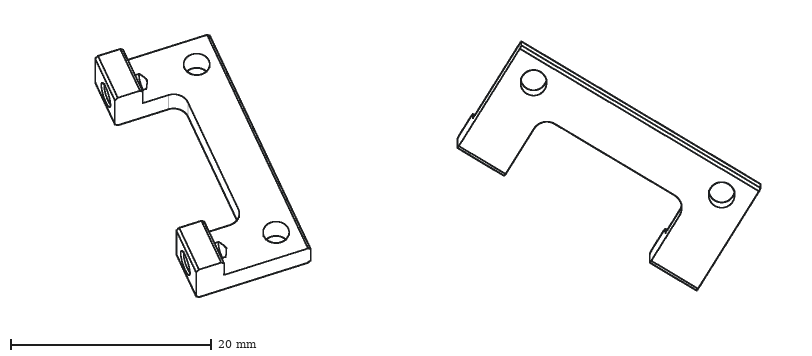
import cadquery as cq
import math

length = 28.0
depth = 12.3
height = 4.8
plate_thickness = 2.5
block_depth = 3.0
edge_chamfer = 0.3

leg_width = 5.5
bridge_depth = 5.07
notch_radius = 1.5

hole_spacing = 22.0
mount_diameter = 2.6
mount_from_back = 2.58

screw_height = 2.13
drill_diameter = 2.1
drill_depth = 3.95
tip_angle = 118.0
countersink_diameter = 2.55

hole_positions = (-hole_spacing / 2, hole_spacing / 2)


def bracket_body():
    """Extrude the L-shaped side profile along X; the front face lies on Y = 0."""
    c = edge_chamfer
    profile = [
        (c, 0),
        (depth - c, 0),
        (depth, c),
        (depth, plate_thickness - c),
        (depth - c, plate_thickness),
        (block_depth, plate_thickness),
        (block_depth, height - c),
        (block_depth - c, height),
        (c, height),
        (0, height - c),
        (0, c),
    ]
    return cq.Workplane("YZ").polyline(profile).close().extrude(length / 2, both=True)


def front_notch():
    """Opening between the legs, rounded at its two inner corners."""
    notch_width = length - 2 * leg_width
    notch_depth = depth - bridge_depth
    return (
        cq.Workplane("XY")
        .box(notch_width, notch_depth, height, centered=(True, False, False))
        .edges("|Z and >Y")
        .fillet(notch_radius)
    )


def mount_hole(x):
    """Vertical through hole."""
    return cq.Workplane("XY").center(x, depth - mount_from_back).circle(mount_diameter / 2).extrude(height)


def screw_hole(x):
    """Blind hole along Y with a 45 degree countersink and a conical drill tip."""
    drill_radius = drill_diameter / 2
    countersink_radius = countersink_diameter / 2
    countersink_depth = countersink_radius - drill_radius
    tip_length = drill_radius / math.tan(math.radians(tip_angle / 2))
    half_section = [
        (0, 0),
        (countersink_radius, 0),
        (drill_radius, countersink_depth),
        (drill_radius, drill_depth),
        (0, drill_depth + tip_length),
    ]
    return (
        cq.Workplane("XY")
        .polyline(half_section)
        .close()
        .revolve(360, (0, 0, 0), (0, 1, 0))
        .translate((x, 0, screw_height))
    )


result = bracket_body().cut(front_notch())
for hole_x in hole_positions:
    result = result.cut(mount_hole(hole_x)).cut(screw_hole(hole_x))